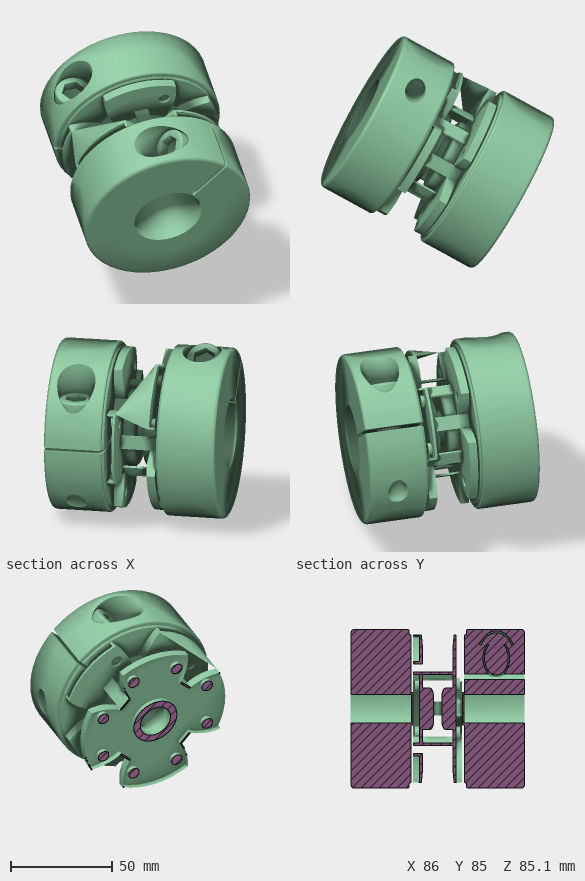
import cadquery as cq
import math

length = 86.0
hub_diameter = 85.0
hub_radius = hub_diameter / 2
bore_diameter = 34.6
through_diameter = 16.5

hub_inner_x = 14.1
hub_outer_round = 1.7
hub_inner_round = 0.9
step_radius = 40.25
step_x = 13.2
step_chamfer = 0.7
boss_diameter = 35.7
plate_outer_x = 12.1
slot_width = 1.8
slot_start = 17.2
hub_flip_angle = 67.5

screw_x = -29.0
screw_offset = 28.9
head_diameter = 18.0
head_top = 23.2
head_height = 12.0
head_round = 1.4
counterbore_diameter = 19.0
shank_diameter = 12.0
shank_end = -17.2
clearance_diameter = 13.0
tap_hole_diameter = 10.2
socket_flats = 10.15
socket_depth = 5.2
socket_tip_depth = 2.15

plate_inner_x = 7.3
rim_slope_width = 6.9
rim_slope_depth = 0.7
floor_outer_x = 9.2
wall = 0.5
core_radius = 12.0
lobe_radius = 39.9
lobe_half_angle = 27.0
lobe_flank_angle = 32.0
lobe_flank_radius = 33.5
notch_radius = 24.1
notch_half_width = 3.4
pin_diameter = 6.0
pin_head_x = 11.1
pin_seat = 0.35
pin_circle_radius = 31.1
pin_offset_angle = 22.5

ring_diameter = 38.0
ring_gap = 3.8
ring_round = 2.4
sleeve_wall = 0.3
bar_width = 2 * notch_half_width
bar_thickness = 1.0
web_tip_scale = 0.01
second_plate_turn = 45
first_half_open_lobes = (second_plate_turn,)
second_half_open_lobes = (second_plate_turn, second_plate_turn + 90)
quarter_turns = (0, 90, 180, 270)


def polar(radius, degrees):
    """Point seen along +X: first coordinate along -Y, second along Z."""
    angle = math.radians(degrees)
    return (radius * math.cos(angle), radius * math.sin(angle))


def face_plane(x):
    """Plane across the axis with its first direction along -Y and second along Z."""
    return cq.Workplane(cq.Plane(origin=(x, 0, 0), xDir=(0, -1, 0), normal=(-1, 0, 0)))


def disc(radius, x_start, x_end):
    return face_plane(x_end).circle(radius).extrude(x_end - x_start)


def screw_cylinder(diameter, z_start, z_end):
    base = cq.Workplane("XY", origin=(screw_x, -screw_offset, z_start))
    return base.circle(diameter / 2).extrude(z_end - z_start)


def make_screw():
    head = screw_cylinder(head_diameter, head_top - head_height, head_top)
    head = head.faces(">Z").edges().fillet(head_round)
    shank = screw_cylinder(shank_diameter, shank_end, head_top - head_height)
    corner_diameter = socket_flats / math.cos(math.pi / 6)
    top = cq.Workplane("XY", origin=(screw_x, -screw_offset, head_top))
    socket = top.transformed(rotate=(0, 0, 90)).polygon(6, corner_diameter).extrude(-socket_depth)
    tip = cq.Workplane(cq.Solid.makeCone(
        socket_flats / 2, 0, socket_tip_depth,
        pnt=cq.Vector(screw_x, -screw_offset, head_top - socket_depth), dir=cq.Vector(0, 0, -1)))
    return head.union(shank).cut(socket).cut(tip)


def make_hub():
    body = disc(hub_radius, -length / 2, -hub_inner_x)
    body = body.faces("<X").edges().fillet(hub_outer_round)
    body = body.faces(">X").edges().fillet(hub_inner_round)
    step = disc(step_radius, -hub_inner_x, -step_x).faces(">X").edges().chamfer(step_chamfer)
    boss = disc(boss_diameter / 2, -step_x, -plate_outer_x)
    hub = body.union(step).union(boss)
    hub = hub.cut(disc(through_diameter / 2, -step_x, -plate_outer_x))
    hub = hub.cut(disc(bore_diameter / 2, -length / 2, -step_x))
    slot_length = length / 2 - plate_outer_x
    slot = cq.Workplane("XY").box(slot_length, hub_radius - slot_start, slot_width)
    hub = hub.cut(slot.translate((-length / 2 + slot_length / 2, -(hub_radius + slot_start) / 2, 0)))
    hub = hub.cut(screw_cylinder(counterbore_diameter, head_top - head_height, hub_radius))
    hub = hub.cut(screw_cylinder(clearance_diameter, 0, head_top - head_height))
    hub = hub.cut(screw_cylinder(tap_hole_diameter, -hub_radius, 0))
    return hub.union(make_screw())


def lobed_outline(x, first_lobe):
    """Closed outline of four convex-sided lobes parted by narrow notches."""
    notch_angle = 45 - math.degrees(math.asin(notch_half_width / notch_radius))
    outline = face_plane(x).moveTo(*polar(notch_radius, first_lobe - notch_angle))
    for turn in quarter_turns:
        middle = first_lobe + turn
        outline = outline.threePointArc(
            polar(lobe_flank_radius, middle - lobe_flank_angle), polar(lobe_radius, middle - lobe_half_angle))
        outline = outline.threePointArc(
            polar(lobe_radius, middle), polar(lobe_radius, middle + lobe_half_angle))
        outline = outline.threePointArc(
            polar(lobe_flank_radius, middle + lobe_flank_angle), polar(notch_radius, middle + notch_angle))
        outline = outline.lineTo(*polar(notch_radius, middle + 90 - notch_angle))
    return outline.close()


def rim_opening(lobe_middle):
    """Window through the outer wall of one lobe, between its flanks."""
    inside = lobe_radius - 2 * wall
    outside = lobe_radius + wall
    half_angle = lobe_half_angle - math.degrees(2 * wall / lobe_radius)
    sketch = face_plane(plate_outer_x).moveTo(*polar(inside, lobe_middle - half_angle))
    sketch = sketch.threePointArc(polar(inside, lobe_middle), polar(inside, lobe_middle + half_angle))
    sketch = sketch.lineTo(*polar(outside, lobe_middle + half_angle))
    sketch = sketch.threePointArc(polar(outside, lobe_middle), polar(outside, lobe_middle - half_angle))
    return sketch.close().extrude(plate_outer_x - floor_outer_x)


def make_lobed_plate(first_lobe, open_lobes):
    """Lobed pan on the +X side: dished floor, thin walls, solid core and pin heads on the floor."""
    plate = lobed_outline(plate_outer_x, first_lobe).extrude(plate_outer_x - plate_inner_x)
    dished = disc(lobe_radius, plate_inner_x, plate_outer_x)
    dished = dished.faces("<X").edges().chamfer(rim_slope_depth, rim_slope_width)
    plate = plate.intersect(dished)
    hollow = lobed_outline(plate_outer_x, first_lobe).offset2D(-wall)
    plate = plate.cut(hollow.extrude(plate_outer_x - floor_outer_x))
    for lobe_middle in open_lobes:
        plate = plate.cut(rim_opening(lobe_middle))
    holes = [polar(pin_circle_radius, first_lobe + turn - pin_offset_angle) for turn in quarter_turns]
    heads = holes + [polar(pin_circle_radius, first_lobe + turn + pin_offset_angle) for turn in quarter_turns]
    hole_plane = face_plane(floor_outer_x).pushPoints(holes)
    plate = plate.cut(hole_plane.circle(pin_diameter / 2).extrude(floor_outer_x - plate_inner_x))
    head_plane = face_plane(pin_head_x).pushPoints(heads)
    plate = plate.union(head_plane.circle(pin_diameter / 2).extrude(pin_head_x - floor_outer_x + pin_seat))
    return plate.union(disc(core_radius, floor_outer_x, plate_outer_x))


def make_ring():
    """Ring on the +X side, rounded towards the middle gap."""
    ring = disc(ring_diameter / 2, ring_gap / 2, plate_inner_x)
    return ring.faces("<X").edges().fillet(ring_round)


def half_turn(shape, axis_angle):
    """Swap the two ends by a half turn about a crosswise axis at the given angle."""
    axis = polar(1, axis_angle)
    return shape.rotate((0, 0, 0), (0, -axis[0], axis[1]), 180)


def make_bars(first_angle):
    """Four flat bars along X, seated in the notches of the +X plate and ending on the other plate."""
    bar_length = plate_inner_x + plate_outer_x
    bars = cq.Workplane()
    for turn in quarter_turns:
        bar = cq.Workplane("XY").box(bar_length, bar_thickness, bar_width)
        bar = bar.translate((plate_outer_x - bar_length / 2, bar_thickness / 2 - notch_radius, 0))
        bars = bars.union(bar.rotate((0, 0, 0), (1, 0, 0), -(first_angle + turn)))
    return bars


def web_section(x, scale):
    """Circular segment under one lobe rim, shrunk towards a corner of the facing lobe."""
    corner = polar(lobe_radius, lobe_half_angle)
    rim = [polar(lobe_radius, second_plate_turn + side * lobe_half_angle) for side in (-1, 0, 1)]
    start, middle, end = [
        tuple(c + scale * (p - c) for c, p in zip(corner, point)) for point in rim]
    return face_plane(x).moveTo(*start).threePointArc(middle, end).close().wires().val()


def make_web():
    """Fan-shaped web from a lobe rim of the +X plate to the nearest lobe corner of the other plate."""
    base = web_section(plate_inner_x + rim_slope_depth, 1)
    tip = web_section(-plate_inner_x - rim_slope_depth, web_tip_scale)
    return cq.Workplane(cq.Solid.makeLoft([base, tip], True))


def make_half_cage(open_lobes):
    """Ring, lobed plate and four bars belonging to the +X end."""
    plate = make_lobed_plate(second_plate_turn, open_lobes)
    return make_ring().union(plate).union(make_bars(0))


hub = make_hub()
first_half = half_turn(make_half_cage(first_half_open_lobes), second_plate_turn / 2)
second_half = make_half_cage(second_half_open_lobes)
sleeve = disc(through_diameter / 2 + sleeve_wall, -plate_inner_x, plate_inner_x)
cage = first_half.union(second_half).union(sleeve).union(make_web())
cage = cage.cut(disc(through_diameter / 2, -plate_outer_x, plate_outer_x))
result = hub.union(cage).union(half_turn(hub, hub_flip_angle))